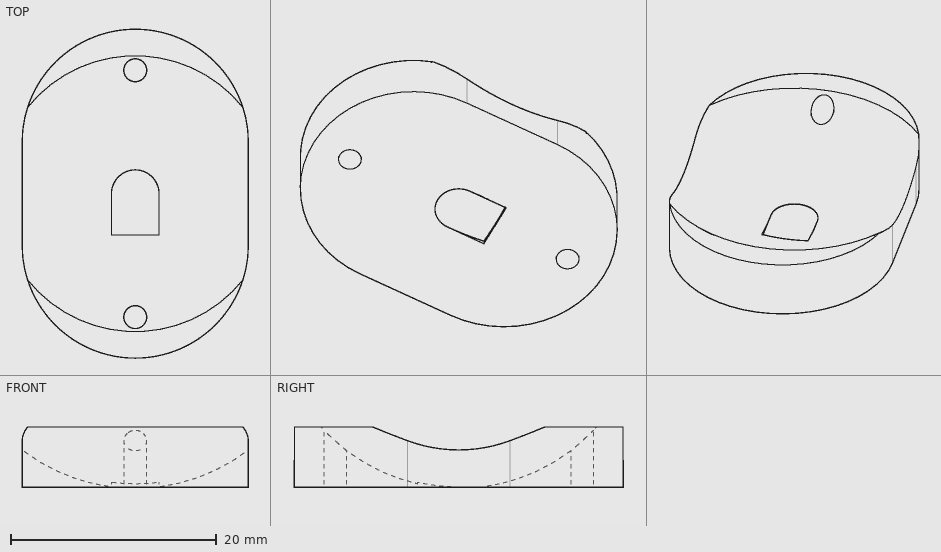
import cadquery as cq

length = 32.0
width = 22.0
height = 5.9

dish_radius = 18.0
dish_center_z = 17.92

window_width = 4.6
window_straight = 4.0

hole_diameter = 2.2
hole_spacing = 24.0


def oval_body():
    return cq.Workplane("XY").slot2D(length, width, 90).extrude(height)


def dish():
    return cq.Workplane("XY").sphere(dish_radius).translate((0, 0, dish_center_z))


def window():
    half_width = window_width / 2
    return (
        cq.Workplane("XY")
        .moveTo(-half_width, -window_straight)
        .lineTo(half_width, -window_straight)
        .lineTo(half_width, 0)
        .threePointArc((0, half_width), (-half_width, 0))
        .close()
        .extrude(height)
    )


def screw_holes():
    return (
        cq.Workplane("XY")
        .rarray(0.32, hole_spacing, 1, 2)
        .circle(hole_diameter / 2)
        .extrude(height)
    )


result = oval_body().cut(dish()).cut(window()).cut(screw_holes())